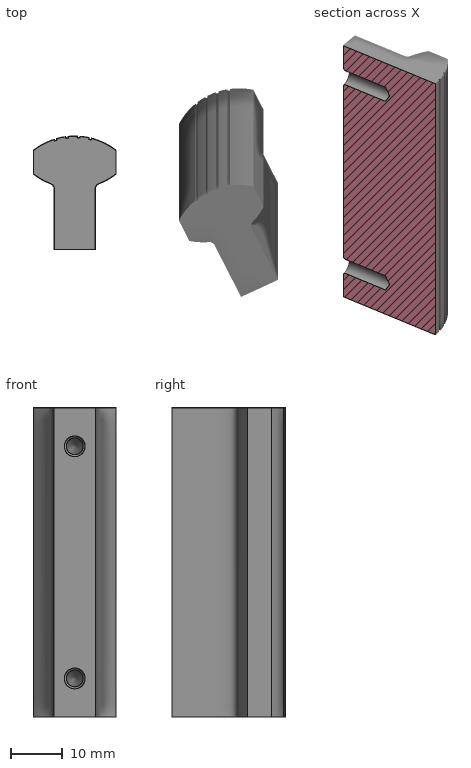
import cadquery as cq
import math

length = 60.0
head_width = 16.0
total_depth = 22.0

stem_width = 8.0
side_flat = 4.6
face_radius = 13.0
neck_radius = 1.0

groove_count = 4
groove_pitch_angle = 10.1
first_groove_angle = -13.5
groove_width = 0.5
groove_depth = 0.3

hole_spacing = 45.0
hole_diameter = 3.25
countersink_diameter = 4.0
hole_depth = 10.0
drill_point_angle = 118.0

head_half = head_width / 2
stem_half = stem_width / 2
flat_half = side_flat / 2
crown_height = face_radius - math.sqrt(face_radius**2 - head_half**2)
crown_y = flat_half + crown_height
foot_y = crown_y - total_depth


def make_head():
    """Bar with two flat sides and two crowned faces."""
    return (
        cq.Workplane("XY")
        .moveTo(-head_half, -flat_half)
        .lineTo(-head_half, flat_half)
        .threePointArc((0, crown_y), (head_half, flat_half))
        .lineTo(head_half, -flat_half)
        .threePointArc((0, -crown_y), (-head_half, -flat_half))
        .close()
        .extrude(length)
    )


def make_stem():
    """Rectangular web from the middle of the head to the foot."""
    return (
        cq.Workplane("XY")
        .box(stem_width, -foot_y, length, centered=(True, False, False))
        .translate((0, foot_y, 0))
    )


def neck_edges(body):
    """Upright edges where the stem meets the inner face of the head."""
    neck_y = face_radius - crown_y - math.sqrt(face_radius**2 - stem_half**2)
    corners = [(side * stem_half, neck_y, length / 2) for side in (-1, 1)]
    edges = [body.edges(cq.selectors.NearestToPointSelector(corner)).val() for corner in corners]
    return body.newObject(edges)


def make_hole(z):
    """Blind drilled hole with a conical bottom and a 45-degree countersink."""
    radius = hole_diameter / 2
    mouth_radius = countersink_diameter / 2
    countersink_depth = mouth_radius - radius
    point_depth = radius / math.tan(math.radians(drill_point_angle / 2))
    bottom_y = foot_y + hole_depth
    return (
        cq.Workplane("XY")
        .moveTo(0, foot_y)
        .lineTo(mouth_radius, foot_y)
        .lineTo(radius, foot_y + countersink_depth)
        .lineTo(radius, bottom_y)
        .lineTo(0, bottom_y + point_depth)
        .close()
        .revolve(360, (0, 0, 0), (0, 1, 0))
        .translate((0, 0, z))
    )


def make_groove(angle):
    """Full-length square groove, turned about the centre of the crown arc."""
    return (
        cq.Workplane("XY")
        .center(0, crown_y)
        .rect(groove_width, 2 * groove_depth)
        .extrude(length)
        .rotate((0, crown_y - face_radius, 0), (0, crown_y - face_radius, 1), angle)
    )


body = make_head().union(make_stem())
body = neck_edges(body).fillet(neck_radius)
for side in (-1, 1):
    body = body.cut(make_hole(length / 2 + side * hole_spacing / 2))
for index in range(groove_count):
    body = body.cut(make_groove(first_groove_angle + index * groove_pitch_angle))

result = body